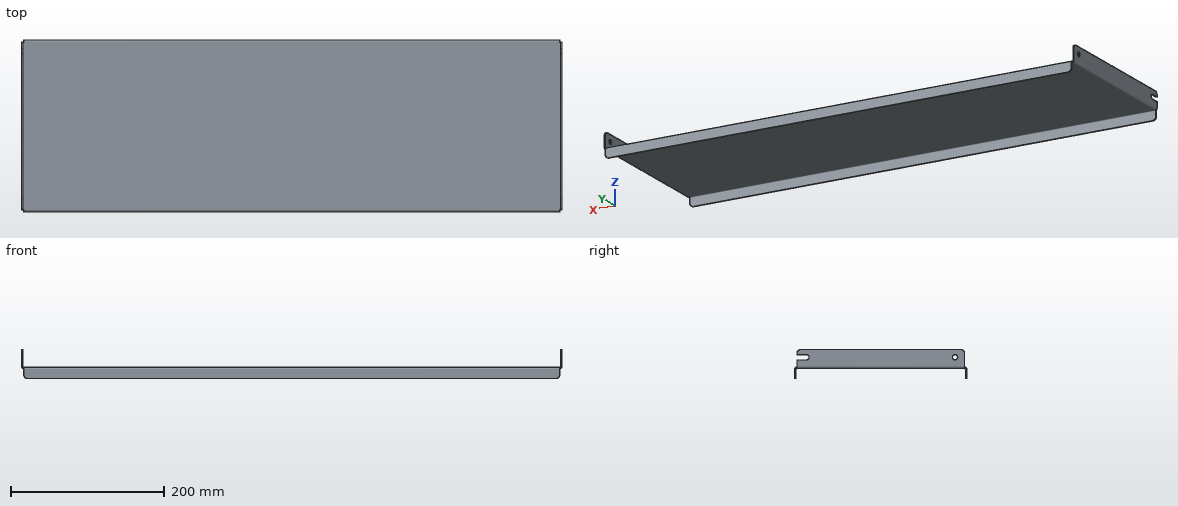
import cadquery as cq

length = 706.0
width = 225.0
height = 38.0

sheet = 2.0
inner_radius = 1.0
outer_radius = inner_radius + sheet

panel_top = 15.0
panel_bottom = panel_top - sheet

flat_length = length - 2 * outer_radius
flat_width = width - 2 * outer_radius

corner_radius = 5.0

mount_height = 27.75
mount_diameter = 6.5
mount_inset = 12.5
mount_y = flat_width / 2 - mount_inset


def make_panel():
    """Flat shelf surface."""
    return (
        cq.Workplane("XY")
        .workplane(offset=panel_bottom)
        .rect(flat_length, flat_width)
        .extrude(sheet)
    )


def make_front_skirt():
    """Front edge of the sheet, bent down through 90 degrees, with rounded lower corners."""
    bend_y = -flat_width / 2
    bend_z = panel_top - outer_radius
    return (
        cq.Workplane("YZ")
        .moveTo(bend_y, panel_top)
        .radiusArc((bend_y - outer_radius, bend_z), -outer_radius)
        .lineTo(bend_y - outer_radius, 0)
        .lineTo(bend_y - inner_radius, 0)
        .lineTo(bend_y - inner_radius, bend_z)
        .radiusArc((bend_y, panel_bottom), inner_radius)
        .close()
        .extrude(flat_length / 2, both=True)
        .edges("|Y and <Z")
        .fillet(corner_radius)
    )


def make_mounting_cutter():
    """Round hole at the back and round-ended slot open to the front, along X."""
    flange_side = cq.Workplane("YZ", origin=(-length / 2, 0, mount_height))
    round_ends = (
        flange_side.pushPoints([(mount_y, 0), (-mount_y, 0)])
        .circle(mount_diameter / 2)
        .extrude(outer_radius)
    )
    slot_mouth = (
        flange_side.center(-mount_y - mount_inset / 2, 0)
        .rect(mount_inset, mount_diameter)
        .extrude(outer_radius)
    )
    return round_ends.union(slot_mouth)


def make_left_flange():
    """Left edge of the sheet, bent up through 90 degrees, with its hole and slot."""
    bend_x = -flat_length / 2
    bend_z = panel_bottom + outer_radius
    flange = (
        cq.Workplane("XZ")
        .moveTo(bend_x, panel_bottom)
        .radiusArc((bend_x - outer_radius, bend_z), outer_radius)
        .lineTo(bend_x - outer_radius, height)
        .lineTo(bend_x - inner_radius, height)
        .lineTo(bend_x - inner_radius, bend_z)
        .radiusArc((bend_x, panel_top), -inner_radius)
        .close()
        .extrude(flat_width / 2, both=True)
        .edges("|X and >Z")
        .fillet(corner_radius)
    )
    return flange.cut(make_mounting_cutter())


front_skirt = make_front_skirt()
left_flange = make_left_flange()

result = (
    make_panel()
    .union(front_skirt)
    .union(front_skirt.mirror("XZ"))
    .union(left_flange)
    .union(left_flange.mirror("YZ"))
)